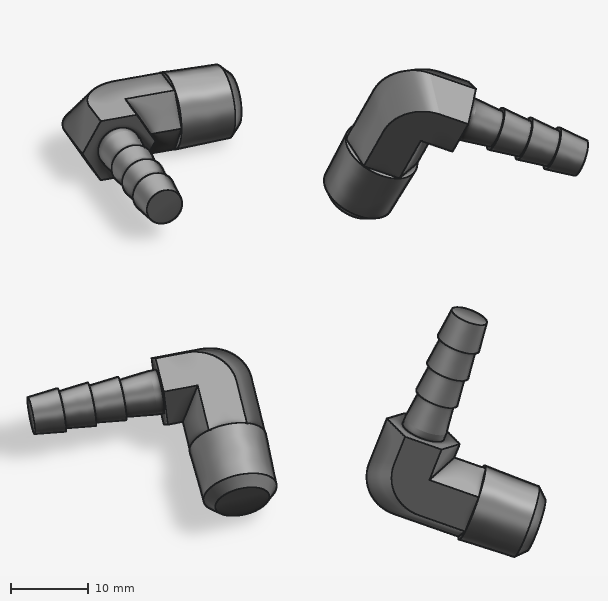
import cadquery as cq

hex_flats = 8.73
hex_flat_half = hex_flats / 2
hex_corner_half = hex_flats / 3 ** 0.5
hex_edge_half = hex_corner_half / 2
bend_radius = 5.5
body_end_y = 9.35

thread_root_diameter = 10.2
thread_tip_diameter = 9.72
thread_nose_diameter = 7.15
thread_chamfer_length = 1.35
overall_width = 23.23
thread_end_y = overall_width - hex_corner_half

barb_diameter = 5.75
barb_neck_diameter = 4.9
barb_collar_length = 1.0
barb_count = 4
barbed_length = 16.0
barb_pitch = barbed_length / barb_count
overall_length = 29.1
barb_end_x = overall_length - thread_root_diameter / 2
first_cone_x = barb_end_x - barbed_length
body_end_x = first_cone_x - barb_collar_length


def elbow_outline(plane, half_width):
    """L-shaped section of the elbow, with arms of the given half width."""
    return (
        plane.moveTo(-half_width, body_end_y)
        .lineTo(-half_width, bend_radius - half_width)
        .radiusArc((bend_radius - half_width, -half_width), -bend_radius)
        .lineTo(body_end_x, -half_width)
        .lineTo(body_end_x, half_width)
        .lineTo(half_width, half_width)
        .lineTo(half_width, body_end_y)
        .close()
    )


def make_body():
    """Elbow whose section narrows from mid height to the upper and lower flats."""
    middle = elbow_outline(cq.Workplane("XY"), hex_corner_half)
    upper = elbow_outline(middle.workplane(offset=hex_flat_half), hex_edge_half).loft(ruled=True)
    return upper.union(upper.mirror("XY"))


def make_thread():
    """Tapered male end with a chamfered nose, plain inside."""
    return (
        cq.Workplane("XY")
        .moveTo(0, body_end_y)
        .lineTo(thread_root_diameter / 2, body_end_y)
        .lineTo(thread_tip_diameter / 2, thread_end_y - thread_chamfer_length)
        .lineTo(thread_nose_diameter / 2, thread_end_y)
        .lineTo(0, thread_end_y)
        .close()
        .revolve(360, (0, 0, 0), (0, 1, 0))
    )


def make_barb():
    """Short collar followed by a row of cones, each narrowing toward the free end."""
    profile = (
        cq.Workplane("XY")
        .moveTo(body_end_x, 0)
        .lineTo(body_end_x, barb_diameter / 2)
        .lineTo(first_cone_x, barb_diameter / 2)
    )
    for i in range(barb_count):
        cone_end_x = first_cone_x + (i + 1) * barb_pitch
        profile = profile.lineTo(cone_end_x, barb_neck_diameter / 2)
        if i < barb_count - 1:
            profile = profile.lineTo(cone_end_x, barb_diameter / 2)
    return profile.lineTo(barb_end_x, 0).close().revolve(360, (0, 0, 0), (1, 0, 0))


result = make_body().union(make_thread()).union(make_barb())